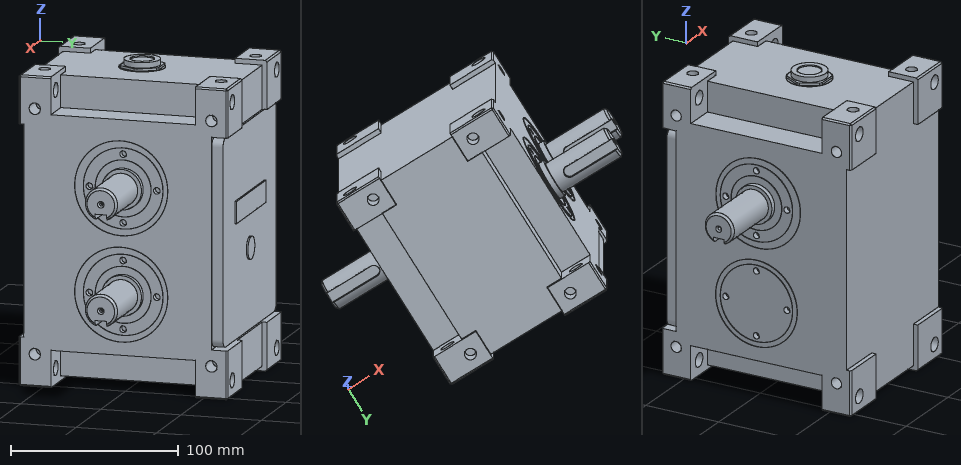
import cadquery as cq
import math

overall_length = 200
body_width = 110
body_height = 184
body_depth = 124
half_width = body_width / 2
half_height = body_height / 2
body_back = body_depth / 2

pad_length = 30
pad_depth = 20
pad_rise = 3.0
pad_chamfer = 1.0
pad_half_depth = body_back + pad_rise
pad_half_height = half_height + pad_rise

step_size = 20

through_hole_diameter = 9.0
through_hole_inset = 10
tapped_hole_diameter = 7.0
tapped_hole_depth = 14
tapped_hole_inset = 20
tapped_hole_y = 55.0

channel_floor = 55.0
channel_height = 130
plate_width = 108
plate_height = 128
plate_corner_radius = 5.0
strip_length = 60
strip_height = 13.5
boss_diameter = 14
raised_offset_z = 14
raised_thickness = 1.0

upper_axis_z = 30
lower_axis_z = -35.0
cover_radius = 24.8
shaft_bore_radius = 29.0
shaft_bore_offset_y = -1.2
blind_bore_radius = 28
seal_radius = 17.5
groove_depth = 0.5
cover_bolt_circle_radius = 21.0
cover_bolt_count = 4
cover_bolt_diameter = 4
cover_bolt_depth = 4

shaft_radius = 10
collar_radius = 12.5
collar_length = 3.0
shaft_chamfer = 1.5
shaft_end = overall_length / 2
keyway_width = 7.0
keyway_depth = 4
keyway_gap = 7.0
centre_hole_radius = 1.0
centre_hole_depth = 4
centre_mouth_radius = 2

plug_y = -5.0
plug_seat_radius = 14
plug_seat_height = 0.2
plug_hex_across_flats = 24.5
plug_hex_corner_radius = 13.5
plug_hex_height = 1.5
plug_head_radius = 11.0
plug_height = 5.0
plug_recess_radius = 7.5
plug_recess_depth = 0.8

SIDES = (-1, 1)


def box(x_range, y_range, z_range):
    """Box between pairs of X, Y and Z limits, each given in either order."""
    spans = [sorted(limits) for limits in (x_range, y_range, z_range)]
    sizes = [high - low for low, high in spans]
    return cq.Workplane("XY").box(*sizes, centered=False).translate(tuple(low for low, high in spans))


def x_cylinder(radius, x_range, y, z):
    """Cylinder along X between two X limits, centred on (y, z)."""
    start, end = sorted(x_range)
    return cq.Workplane("YZ", origin=(start, y, z)).circle(radius).extrude(end - start)


def make_pad(x_side, y_side, z_side):
    """Pad on one corner, with its three outer edges chamfered."""
    x_outer = x_side * half_width
    y_outer = y_side * pad_half_depth
    z_outer = z_side * pad_half_height
    pad = box(
        (x_outer, x_outer - x_side * pad_length),
        (y_outer, y_outer - y_side * pad_depth),
        (z_outer, z_outer - z_side * pad_length),
    )
    corner = cq.selectors.NearestToPointSelector((x_outer, y_outer, z_outer))
    outer_edges = pad.vertices(corner).val().ancestors(pad.val(), "Edge")
    return pad.newObject(list(outer_edges)).chamfer(pad_chamfer)


def make_housing():
    """Main case with stepped long corners and a channel across its back, carrying the eight pads."""
    housing = cq.Workplane("XY").box(body_width, body_depth, body_height)
    for x_side in SIDES:
        for z_side in SIDES:
            step = box(
                (x_side * half_width, x_side * (half_width - step_size)),
                (-body_back, body_back),
                (z_side * half_height, z_side * (half_height - step_size)),
            )
            housing = housing.cut(step)
    channel = box(
        (-half_width, half_width),
        (channel_floor, body_back),
        (-channel_height / 2, channel_height / 2),
    )
    housing = housing.cut(channel)
    for x_side in SIDES:
        for y_side in SIDES:
            for z_side in SIDES:
                housing = housing.union(make_pad(x_side, y_side, z_side))
    return housing


def drill_pads(part):
    """Through holes along Y, and blind tapped holes in the side, top and bottom pad faces."""
    through_x = 2 * (half_width - through_hole_inset)
    through_z = 2 * (pad_half_height - through_hole_inset)
    through_holes = (
        cq.Workplane("XZ", origin=(0, pad_half_depth, 0))
        .rect(through_x, through_z, forConstruction=True)
        .vertices()
        .circle(through_hole_diameter / 2)
        .extrude(2 * pad_half_depth)
    )
    part = part.cut(through_holes)

    tapped_x = half_width - tapped_hole_inset
    tapped_z = pad_half_height - tapped_hole_inset
    for side in SIDES:
        side_holes = (
            cq.Workplane("YZ", origin=(side * half_width, 0, 0))
            .rect(2 * tapped_hole_y, 2 * tapped_z, forConstruction=True)
            .vertices()
            .circle(tapped_hole_diameter / 2)
            .extrude(-side * tapped_hole_depth)
        )
        end_holes = (
            cq.Workplane("XY", origin=(0, 0, side * pad_half_height))
            .rect(2 * tapped_x, 2 * tapped_hole_y, forConstruction=True)
            .vertices()
            .circle(tapped_hole_diameter / 2)
            .extrude(-side * tapped_hole_depth)
        )
        part = part.cut(side_holes).cut(end_holes)
    return part


def make_rear_plate():
    """Rounded cover plate in the back channel with a raised strip above a round boss."""
    plate = (
        box(
            (-plate_width / 2, plate_width / 2),
            (channel_floor, body_back),
            (-plate_height / 2, plate_height / 2),
        )
        .edges("|Y")
        .fillet(plate_corner_radius)
    )
    face = cq.Workplane("XZ", origin=(0, body_back, 0))
    strip = face.center(0, raised_offset_z).rect(strip_length, strip_height).extrude(-raised_thickness)
    boss = face.center(0, -raised_offset_z).circle(boss_diameter / 2).extrude(-raised_thickness)
    return plate.union(strip).union(boss)


def ring_groove(side, axis_z, outer_radius, inner_radius, outer_offset_y=0):
    """Shallow ring to cut in a side face; its outer circle may sit off the axis."""
    x_range = (side * half_width, side * (half_width - groove_depth))
    outer = x_cylinder(outer_radius, x_range, outer_offset_y, axis_z)
    return outer.cut(x_cylinder(inner_radius, x_range, 0, axis_z))


def cut_cover(part, side, axis_z, has_shaft):
    """Outline one bearing cover and drill its bolt holes."""
    if has_shaft:
        outline = ring_groove(side, axis_z, shaft_bore_radius, cover_radius, shaft_bore_offset_y)
        part = part.cut(outline).cut(ring_groove(side, axis_z, seal_radius, collar_radius))
    else:
        part = part.cut(ring_groove(side, axis_z, blind_bore_radius, cover_radius))
    bolt_holes = (
        cq.Workplane("YZ", origin=(side * half_width, 0, axis_z))
        .polarArray(cover_bolt_circle_radius, 0, 360, cover_bolt_count)
        .circle(cover_bolt_diameter / 2)
        .extrude(-side * cover_bolt_depth)
    )
    return part.cut(bolt_holes)


def make_shaft(side, axis_z):
    """Collared shaft stub with a chamfered end, a keyway underneath and a centre hole."""
    collar_end = half_width + collar_length
    mouth_depth = centre_mouth_radius - centre_hole_radius
    profile = [
        (half_width - groove_depth, 0),
        (half_width - groove_depth, collar_radius),
        (collar_end, collar_radius),
        (collar_end, shaft_radius),
        (shaft_end - shaft_chamfer, shaft_radius),
        (shaft_end, shaft_radius - shaft_chamfer),
        (shaft_end, centre_mouth_radius),
        (shaft_end - mouth_depth, centre_hole_radius),
        (shaft_end - centre_hole_depth, centre_hole_radius),
        (shaft_end - centre_hole_depth, 0),
    ]
    shaft = cq.Workplane("XY").polyline(profile).close().revolve(360, (0, 0, 0), (1, 0, 0))

    keyway_start = collar_end + keyway_gap + keyway_width / 2
    keyway = box(
        (keyway_start, shaft_end),
        (-keyway_width / 2, keyway_width / 2),
        (-shaft_radius, keyway_depth - shaft_radius),
    )
    keyway_end = (
        cq.Workplane("XY", origin=(keyway_start, 0, -shaft_radius))
        .circle(keyway_width / 2)
        .extrude(keyway_depth)
    )
    shaft = shaft.cut(keyway.union(keyway_end))
    if side < 0:
        shaft = shaft.mirror("YZ")
    return shaft.translate((0, 0, axis_z))


def make_plug():
    """Filler plug: thin seat, hexagon with rounded corners, and a recessed round head."""
    base = cq.Workplane("XY", origin=(0, plug_y, half_height))
    hex_diameter = plug_hex_across_flats / math.cos(math.pi / 6)
    hexagon = base.polygon(6, hex_diameter).extrude(plug_hex_height)
    hexagon = hexagon.intersect(base.circle(plug_hex_corner_radius).extrude(plug_hex_height))
    seat = base.circle(plug_seat_radius).extrude(plug_seat_height)
    head = base.circle(plug_head_radius).extrude(plug_height)
    recess = (
        base.workplane(offset=plug_height)
        .circle(plug_recess_radius)
        .extrude(-plug_recess_depth)
    )
    return seat.union(hexagon).union(head).cut(recess)


COVERS = [
    (-1, upper_axis_z, True),
    (-1, lower_axis_z, False),
    (1, upper_axis_z, True),
    (1, lower_axis_z, True),
]

result = drill_pads(make_housing().union(make_rear_plate()))
for side, axis_z, has_shaft in COVERS:
    result = cut_cover(result, side, axis_z, has_shaft)
    if has_shaft:
        result = result.union(make_shaft(side, axis_z))
result = result.union(make_plug())